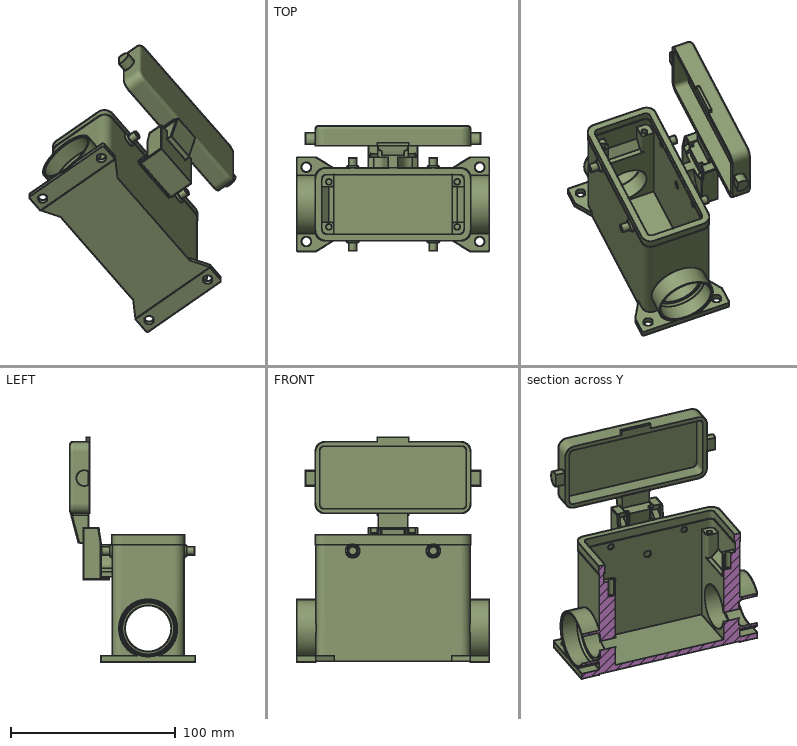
import cadquery as cq
import math

TOTAL_HEIGHT = 136.5
SHELL_LENGTH = 94.3

SHELL_WIDTH = 44.2
SHELL_BOTTOM = 0.5
RIM_TOP = 77.4
RIM_HEIGHT = 6.0
RIM_OVERHANG = 0.3
SHELL_CORNER = 6.0
WALL = 4.1
OPENING_CORNER = 2.7
UNDERCUT = 0.5
FLOOR_TOP = 4.6

FOOT_LENGTH = 117.0
FOOT_WIDTH = 57.3
FOOT_TOP = 4.0
PAD_INNER_X = 46.8
GUSSET_INNER_X = 35.8
FOOT_CORNER = 1.1
FOOT_HOLE_D = 5.7
FOOT_HOLE_X = 52.5
FOOT_HOLE_Y = 22.5

PORT_Z = 20.5
PORT_OUTER_D = 35.5
PORT_BORE_D = 33.0
PORT_SEAT_D = 31.3
PORT_THROUGH_D = 27.8
PORT_SEAT_X = 48.0
PORT_SEAT_CONE = 1.8
PORT_LIP_CHAMFER = 0.5

POST_SIZE = 7.2
POST_TOP = 65.0
POST_EDGE_R = 1.5
END_WALL_TOP = 48.6
END_WALL_SLOPE = 4.8
SCREW_HOLE_D = 3.5
SCREW_HOLE_DEPTH = 10.9
SCREW_HOLE_X = 38.9
SCREW_HOLE_Y = 13.6

PEG_X = 24.5
PEG_Z = 67.5
PEG_D = 5.0
PEG_TIP_Y = 28.3
COLLAR_D = 8.5
COLLAR_TIP_D = 6.3
COLLAR_TIP_Y = 23.3
PEG_HOLE_D = 3.7
WALL_HOLE_DEPTH = 0.8

BRACKET_HALF = 15.2
BRACKET_BOTTOM = 50.1
BRACKET_TOP = 81.6
BRACKET_REAR = 39.5
BRACKET_FRONT = 28.5
BRACKET_TOP_FRONT = 30.0
BRACKET_SLANT_BOTTOM = 72.3
BRACKET_EDGE = 0.4
LIP_FRONT = 23.5
LIP_THICKNESS = 1.6
SLOT_HALF = 9.3
CHEEK_INNER_X = 13.4
KNUCKLE_BOTTOM = 78.6
KNUCKLE_FRONT = 30.8
RECESS_REAR = 35.5
RECESS_REAR_Z = 78.1
RECESS_FRONT_Z = 73.2
MOUND_TOP = 71.4
MOUND_TOP_HALF = 3.0
MOUND_EDGE_Z = 54.9
MOUND_UPPER_CURVE = (3.5, 67.2)
MOUND_NECK = (5.2, 63.2)
MOUND_LOWER_CURVE = (7.5, 58.8)
MOUND_SHOULDER = (11.6, 57.0)
BRACKET_HOLE_D = 4.5
BRACKET_HOLE_Z = 56.4

COVER_BOTTOM = 90.2
COVER_TOP = 133.8
COVER_FRONT = 35.5
COVER_REAR = 47.6
COVER_WALL = 2.7
COVER_CORNER = 6.0
COVER_CAVITY_CORNER = 2.7
COVER_REAR_R = 2.2
TAB_WIDTH = 19.4
TAB_THICKNESS = 1.9
EAR_SPAN = 106.2
EAR_R = 4.8
EAR_Y = 38.8
EAR_Z = 111.7
EAR_FLAT_Y = 36.5

ARM_HALF = 9.0
ARM_FRONT = 36.0
ARM_BOTTOM = 72.5
ARM_TOP = 92.1
ARM_REAR_BOTTOM = 42.3
ARM_REAR_TOP = 47.5
ARM_EDGE = 0.5
ARM_ROOT_HALF = 9.7
ARM_ROOT_DROP = 1.0
NOSE_TILT = 7.0
NOSE_PAD_FRONT = 29.8
NOSE_PAD_HALF = 6.7
NOSE_PAD_TOP = 80.5
NOSE_BOTTOM = 71.5
NOSE_SHOULDER_Y = 32.5
NOSE_SHOULDER_Z = 81.1
NOSE_EDGE = 1.2

BODY_LENGTH = SHELL_LENGTH - 2 * RIM_OVERHANG
BODY_WIDTH = SHELL_WIDTH - 2 * RIM_OVERHANG
RIM_BOTTOM = RIM_TOP - RIM_HEIGHT
OPENING_X = SHELL_LENGTH / 2 - WALL
OPENING_Y = SHELL_WIDTH / 2 - WALL
CAVITY_X = OPENING_X + UNDERCUT
CAVITY_Y = OPENING_Y + UNDERCUT
LOWER_WALL = BODY_WIDTH / 2 - CAVITY_Y
MID_WALL_Y = CAVITY_Y + LOWER_WALL / 2
END_WALL_X = OPENING_X - POST_SIZE


def box(x0, x1, y0, y1, z0, z1):
    """Axis-aligned box between two opposite corners."""
    return cq.Workplane("XY").box(x1 - x0, y1 - y0, z1 - z0, centered=False).translate((x0, y0, z0))


def upright_block(length, width, z0, z1, corner):
    """Block centred on Z with rounded vertical edges."""
    block = box(-length / 2, length / 2, -width / 2, width / 2, z0, z1)
    return block.edges("|Z").fillet(corner)


def cone_frustum(r0, r1, height, base, axis):
    """Cone frustum, or cylinder, that grows from the base point along the axis."""
    if r0 == r1:
        solid = cq.Solid.makeCylinder(r0, height, cq.Vector(*base), cq.Vector(*axis))
    else:
        solid = cq.Solid.makeCone(r0, r1, height, cq.Vector(*base), cq.Vector(*axis))
    return cq.Workplane(obj=solid)


def side_profile(points, half_width):
    """Prism with a (Y, Z) outline, centred on X = 0."""
    return cq.Workplane("YZ").polyline(points).close().extrude(half_width, both=True)


def shell_outside():
    body = upright_block(BODY_LENGTH, BODY_WIDTH, SHELL_BOTTOM, RIM_BOTTOM, SHELL_CORNER - RIM_OVERHANG)
    return body.union(upright_block(SHELL_LENGTH, SHELL_WIDTH, RIM_BOTTOM, RIM_TOP, SHELL_CORNER))


def foot(side):
    """Flange at one end: a pad of full depth and two gussets toward the shell."""
    end = FOOT_LENGTH / 2
    half_width = FOOT_WIDTH / 2
    root_y = BODY_WIDTH / 2
    outline = [
        (end, -half_width), (end, half_width), (PAD_INNER_X, half_width),
        (GUSSET_INNER_X, root_y), (GUSSET_INNER_X, -root_y), (PAD_INNER_X, -half_width),
    ]
    plate = cq.Workplane("XY").polyline(outline).close().extrude(FOOT_TOP)
    plate = plate.edges("|Z and >X").fillet(FOOT_CORNER)
    plate = plate.cut(box(0, PAD_INNER_X, -half_width, half_width, 0, SHELL_BOTTOM))
    holes = cq.Workplane("XY").pushPoints([(FOOT_HOLE_X, -FOOT_HOLE_Y), (FOOT_HOLE_X, FOOT_HOLE_Y)])
    plate = plate.cut(holes.circle(FOOT_HOLE_D / 2).extrude(FOOT_TOP))
    return plate if side > 0 else plate.mirror("YZ")


def port_outside(side):
    start = CAVITY_X
    radius = PORT_OUTER_D / 2
    return cone_frustum(radius, radius, FOOT_LENGTH / 2 - start, (side * start, 0, PORT_Z), (side, 0, 0))


def port_bore(side):
    """Stepped bore, from a chamfered mouth through a conical seat into the cavity."""
    end = FOOT_LENGTH / 2
    bore_r = PORT_BORE_D / 2
    inward = (-side, 0, 0)
    bore = cone_frustum(bore_r, bore_r, end - PORT_SEAT_X, (side * end, 0, PORT_Z), inward)
    mouth = cone_frustum(bore_r + PORT_LIP_CHAMFER, bore_r, PORT_LIP_CHAMFER, (side * end, 0, PORT_Z), inward)
    seat = cone_frustum(bore_r, PORT_SEAT_D / 2, PORT_SEAT_CONE, (side * PORT_SEAT_X, 0, PORT_Z), inward)
    through_r = PORT_THROUGH_D / 2
    through = cone_frustum(through_r, through_r, end - END_WALL_X, (side * end, 0, PORT_Z), inward)
    return bore.union(mouth).union(seat).union(through)


def cavity():
    """Inside of the shell, less the thick end walls and the four screw posts."""
    opening = upright_block(2 * OPENING_X, 2 * OPENING_Y, FLOOR_TOP, RIM_TOP, OPENING_CORNER)
    corner = OPENING_CORNER + UNDERCUT
    space = opening.union(upright_block(2 * CAVITY_X, 2 * CAVITY_Y, FLOOR_TOP, RIM_BOTTOM, corner))
    slope_outline = [
        (END_WALL_X, FLOOR_TOP), (CAVITY_X, FLOOR_TOP),
        (CAVITY_X, END_WALL_TOP + END_WALL_SLOPE),
        (CAVITY_X - END_WALL_SLOPE, END_WALL_TOP), (END_WALL_X, END_WALL_TOP),
    ]
    end_wall = cq.Workplane("XZ").polyline(slope_outline).close().extrude(CAVITY_Y, both=True)
    post_y = OPENING_Y - POST_SIZE
    post = box(END_WALL_X, CAVITY_X, post_y, CAVITY_Y, END_WALL_TOP, POST_TOP)
    post = post.edges("|Z and <X and <Y").fillet(POST_EDGE_R)
    end = end_wall.union(post).union(post.mirror("XZ"))
    return space.cut(end).cut(end.mirror("YZ"))


def screw_holes():
    points = [(x, y) for x in (-SCREW_HOLE_X, SCREW_HOLE_X) for y in (-SCREW_HOLE_Y, SCREW_HOLE_Y)]
    plane = cq.Workplane("XY").workplane(offset=POST_TOP)
    return plane.pushPoints(points).circle(SCREW_HOLE_D / 2).extrude(-SCREW_HOLE_DEPTH)


def peg(x, side):
    """Locking peg with a conical collar on the front (-1) or rear (+1) wall."""
    base_y = MID_WALL_Y
    outward = (0, side, 0)
    wall_y = BODY_WIDTH / 2
    pin = cone_frustum(PEG_D / 2, PEG_D / 2, PEG_TIP_Y - base_y, (x, side * base_y, PEG_Z), outward)
    collar = cone_frustum(
        COLLAR_D / 2, COLLAR_TIP_D / 2, COLLAR_TIP_Y - wall_y, (x, side * wall_y, PEG_Z), outward
    )
    return pin.union(collar)


def peg_hole(x, side):
    """Shallow blind hole in the inner wall face behind a peg."""
    radius = PEG_HOLE_D / 2
    return cone_frustum(radius, radius, WALL_HOLE_DEPTH, (x, side * CAVITY_Y, PEG_Z), (0, side, 0))


def hinge_mound():
    """Flared pad that joins the bracket to the rear wall."""
    bottom_z = BRACKET_BOTTOM + LIP_THICKNESS
    half = (
        cq.Workplane("XZ")
        .moveTo(0, bottom_z)
        .lineTo(BRACKET_HALF, bottom_z)
        .lineTo(BRACKET_HALF, MOUND_EDGE_Z)
        .lineTo(*MOUND_SHOULDER)
        .threePointArc(MOUND_LOWER_CURVE, MOUND_NECK)
        .threePointArc(MOUND_UPPER_CURVE, (MOUND_TOP_HALF, MOUND_TOP))
        .lineTo(0, MOUND_TOP)
        .close()
        .extrude(MID_WALL_Y - BRACKET_FRONT)
        .translate((0, MID_WALL_Y, 0))
    )
    return half.union(half.mirror("YZ"))


def hinge_bracket():
    """Bracket with a slot for the cover arm and a recess inside each cheek."""
    outline = [
        (BRACKET_REAR, BRACKET_BOTTOM), (BRACKET_REAR, BRACKET_TOP), (BRACKET_TOP_FRONT, BRACKET_TOP),
        (BRACKET_FRONT, BRACKET_SLANT_BOTTOM), (BRACKET_FRONT, BRACKET_BOTTOM + LIP_THICKNESS),
        (LIP_FRONT, BRACKET_BOTTOM + LIP_THICKNESS), (LIP_FRONT, BRACKET_BOTTOM),
    ]
    bracket = side_profile(outline, BRACKET_HALF)
    bracket = bracket.faces("<X or >X").chamfer(BRACKET_EDGE)
    slot = box(-SLOT_HALF, SLOT_HALF, LIP_FRONT, BRACKET_REAR, MOUND_TOP, BRACKET_TOP)
    recess_outline = [
        (BRACKET_FRONT, RECESS_FRONT_Z), (RECESS_REAR, RECESS_REAR_Z), (RECESS_REAR, KNUCKLE_BOTTOM),
        (KNUCKLE_FRONT, KNUCKLE_BOTTOM), (KNUCKLE_FRONT, BRACKET_TOP), (BRACKET_FRONT, BRACKET_TOP),
    ]
    return bracket.cut(slot).cut(side_profile(recess_outline, CHEEK_INNER_X))


def bracket_screw_hole():
    """Shallow blind hole in the inner face of the rear wall behind the bracket."""
    radius = BRACKET_HOLE_D / 2
    return cone_frustum(radius, radius, WALL_HOLE_DEPTH, (0, CAVITY_Y, BRACKET_HOLE_Z), (0, 1, 0))


def make_housing():
    body = shell_outside()
    for side in (-1, 1):
        body = body.union(foot(side)).union(port_outside(side))
    body = body.union(hinge_mound()).union(hinge_bracket())
    body = body.cut(cavity()).cut(screw_holes()).cut(bracket_screw_hole())
    for side in (-1, 1):
        body = body.cut(port_bore(side))
        for x in (-PEG_X, PEG_X):
            body = body.union(peg(x, side)).cut(peg_hole(x, side))
    return body


def cover_shell():
    """Shallow tray that opens toward -Y."""
    half = SHELL_LENGTH / 2
    tray = box(-half, half, COVER_FRONT, COVER_REAR, COVER_BOTTOM, COVER_TOP)
    tray = tray.edges("|Y").fillet(COVER_CORNER)
    return tray.faces(">Y").edges().fillet(COVER_REAR_R)


def cover_cavity():
    half = SHELL_LENGTH / 2 - COVER_WALL
    space = box(
        -half, half, COVER_FRONT, COVER_REAR - COVER_WALL, COVER_BOTTOM + COVER_WALL, COVER_TOP - COVER_WALL
    )
    return space.edges("|Y").fillet(COVER_CAVITY_CORNER)


def cover_tab():
    tab_rear = COVER_FRONT + TAB_THICKNESS
    return box(-TAB_WIDTH / 2, TAB_WIDTH / 2, COVER_FRONT, tab_rear, COVER_TOP - COVER_WALL, TOTAL_HEIGHT)


def cover_ears():
    """Round bar with a front flat; the tray's cavity later leaves only its two ends."""
    half = EAR_SPAN / 2
    bar = cone_frustum(EAR_R, EAR_R, EAR_SPAN, (-half, EAR_Y, EAR_Z), (1, 0, 0))
    flat = box(-half, half, EAR_Y - EAR_R, EAR_FLAT_Y, EAR_Z - EAR_R, EAR_Z + EAR_R)
    return bar.cut(flat)


def arm_nose():
    """Nose with a sloping top and a raised pad whose front face leans by the same tilt."""
    rise = math.tan(math.radians(NOSE_TILT))
    nose_outline = [
        (NOSE_SHOULDER_Y, NOSE_SHOULDER_Z), (NOSE_SHOULDER_Y, NOSE_BOTTOM), (ARM_FRONT, NOSE_BOTTOM),
        (ARM_REAR_BOTTOM, ARM_BOTTOM), (ARM_FRONT, NOSE_SHOULDER_Z + (ARM_FRONT - NOSE_SHOULDER_Y) * rise),
    ]
    pad_outline = [
        (NOSE_PAD_FRONT, NOSE_PAD_TOP), (NOSE_SHOULDER_Y, NOSE_SHOULDER_Z), (NOSE_SHOULDER_Y, NOSE_BOTTOM),
        (NOSE_PAD_FRONT + (NOSE_PAD_TOP - NOSE_BOTTOM) * rise, NOSE_BOTTOM),
    ]
    nose = side_profile(nose_outline, ARM_HALF)
    nose = nose.faces("<Y").edges("|Z").chamfer(NOSE_EDGE)
    return nose.union(side_profile(pad_outline, NOSE_PAD_HALF))


def hinge_arm():
    """Tapered arm that reaches into the bracket slot, with a tilted nose at its lower end."""
    outline = [
        (ARM_FRONT, ARM_BOTTOM), (ARM_FRONT, ARM_TOP), (ARM_REAR_TOP, ARM_TOP), (ARM_REAR_BOTTOM, ARM_BOTTOM),
    ]
    arm = side_profile(outline, ARM_HALF)
    arm = arm.faces(">Y").edges("not |X").chamfer(ARM_EDGE)
    root = box(
        -ARM_ROOT_HALF, ARM_ROOT_HALF, ARM_FRONT, COVER_REAR - COVER_REAR_R,
        COVER_BOTTOM - ARM_ROOT_DROP, COVER_BOTTOM + COVER_WALL / 2,
    )
    return arm.union(root).union(arm_nose())


def make_cover():
    return cover_shell().union(cover_ears()).union(cover_tab()).union(hinge_arm()).cut(cover_cavity())


housing = make_housing().solids()
cover = make_cover().solids()
result = cq.Compound.makeCompound([housing.val(), cover.val()])